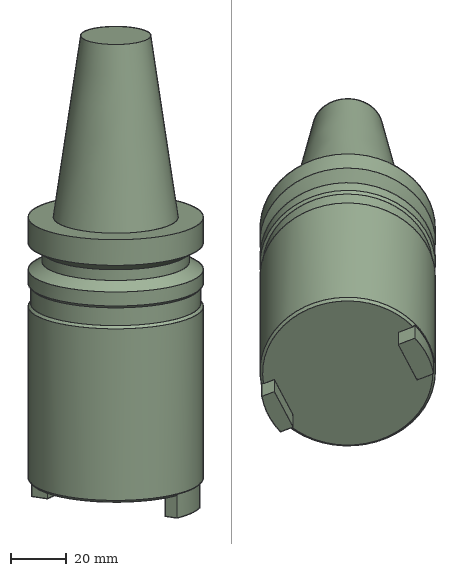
import cadquery as cq

total_height = 173.4
flange_top = 106.0
body_top = 72.8
body_bottom = 8.1

outer_radius = 63.0 / 2
groove_radius = 53.0 / 2
neck_radius = 30.5

taper_base_radius = 44.9 / 2
taper_ratio = 7 / 24
taper_length = total_height - flange_top
taper_tip_radius = taper_base_radius - taper_length * taper_ratio / 2

upper_rim_height = 9.5
groove_flank = 3.0
groove_floor = 4.0
lower_rim_height = 5.2
upper_rim_bottom = flange_top - upper_rim_height
groove_top = upper_rim_bottom - groove_flank
groove_bottom = groove_top - groove_floor
lower_rim_top = groove_bottom - groove_flank
lower_rim_bottom = lower_rim_top - lower_rim_height

chamfer = outer_radius - neck_radius

lug_width = 16.5
lug_radius = 31.2
left_lug_inner_x = 23.5
right_lug_inner_x = 25.1


def make_holder():
    """Revolve the half profile of taper, flange, neck and body about Z."""
    profile = [
        (0, body_bottom),
        (neck_radius, body_bottom),
        (outer_radius, body_bottom + chamfer),
        (outer_radius, body_top),
        (neck_radius, body_top + chamfer),
        (neck_radius, lower_rim_bottom - chamfer),
        (outer_radius, lower_rim_bottom),
        (outer_radius, lower_rim_top),
        (groove_radius, groove_bottom),
        (groove_radius, groove_top),
        (outer_radius, upper_rim_bottom),
        (outer_radius, flange_top),
        (taper_base_radius, flange_top),
        (taper_tip_radius, total_height),
        (0, total_height),
    ]
    return cq.Workplane("XZ").polyline(profile).close().revolve(360, (0, 0), (0, 1))


def make_lug(side, inner_x):
    """Return a lug on the given X side (-1 or +1), rounded on its outer face."""
    lug_height = body_bottom + chamfer
    radial_length = lug_radius - inner_x
    block = (
        cq.Workplane("XY")
        .center(side * (inner_x + radial_length / 2), 0)
        .rect(radial_length, lug_width)
        .extrude(lug_height)
    )
    return block.intersect(cq.Workplane("XY").circle(lug_radius).extrude(lug_height))


result = (
    make_holder()
    .union(make_lug(-1, left_lug_inner_x))
    .union(make_lug(1, right_lug_inner_x))
)